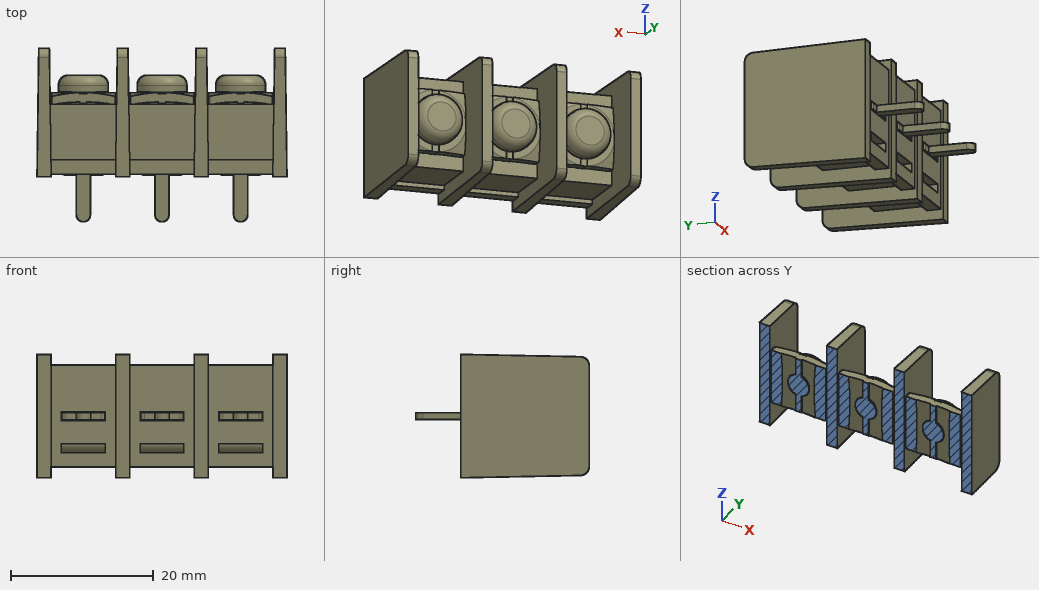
import cadquery as cq
import math

POLES = 3
PITCH = 11.0

BARRIER_FRONT_WIDTH = 2.0
BARRIER_REAR_WIDTH = 1.52
BARRIER_FRONT_HEIGHT = 17.3
BARRIER_REAR_HEIGHT = 16.6
BARRIER_DEPTH = 18.0
BARRIER_CORNER_RADIUS = 1.3

BODY_LENGTH = POLES * PITCH
BODY_FRONT = 0.35
BODY_REAR = 10.2
BODY_HEIGHT = 13.0
LIP_HEIGHT = 14.3
LIP_DEPTH = 2.05

SLOT_WIDTH = 6.15
SLOT_HEIGHT = 1.25
PIN_SLOT_DEPTH = 2.0
LOWER_SLOT_Z = -4.5
LOWER_SLOT_DEPTH = 2.0

PIN_WIDTH = 2.0
PIN_THICKNESS = 1.0
PIN_REACH = 6.3
SHOULDER_WIDTH = 6.0
SHOULDER_PROUD = 0.1
SHOULDER_RADIUS = 0.5

WASHER_WIDTH = 8.96
WASHER_THICKNESS = 1.6
WASHER_CORNER_RADIUS = 0.15
WASHER_CHAMFER_ANGLE = 16.0
HOLLOW_WIDTH = 7.4
HOLLOW_HEIGHT = 0.3
GROOVE_WIDTH = 1.0
GROOVE_DEPTH = 0.2
BEAD_HEIGHT = 0.2

HEAD_DIAMETER = 7.0
HEAD_HEIGHT = 2.4
HEAD_EDGE_RADIUS = 1.4
HEAD_CLEARANCE = 0.05
SHANK_DIAMETER = 3.5

WASHER_REAR = BODY_REAR + WASHER_THICKNESS


def box(width, height, y_start, y_end):
    """Block centred on X = Z = 0 that spans y_start to y_end."""
    return (
        cq.Workplane("XY")
        .box(width, y_end - y_start, height)
        .translate((0, (y_start + y_end) / 2, 0))
    )


def disc(diameter, y_start, y_end):
    """Cylinder along Y, centred on X = Z = 0."""
    return (
        cq.Workplane("XZ", origin=(0, y_start, 0))
        .circle(diameter / 2)
        .extrude(y_start - y_end)
    )


def make_barrier():
    plate = (
        cq.Workplane("XZ")
        .rect(BARRIER_FRONT_WIDTH, BARRIER_FRONT_HEIGHT)
        .workplane(offset=-BARRIER_DEPTH)
        .rect(BARRIER_REAR_WIDTH, BARRIER_REAR_HEIGHT)
        .loft(ruled=True)
    )
    return plate.faces(">Y").edges("|X").fillet(BARRIER_CORNER_RADIUS)


def make_body():
    block = box(BODY_LENGTH, BODY_HEIGHT, BODY_FRONT, BODY_REAR)
    lip = box(BODY_LENGTH, LIP_HEIGHT, BODY_FRONT, BODY_FRONT + LIP_DEPTH)
    return block.union(lip)


def make_pin_slot():
    return box(SLOT_WIDTH, SLOT_HEIGHT, BODY_FRONT, BODY_FRONT + PIN_SLOT_DEPTH)


def make_lower_slot():
    """Slot whose far wall is a rounded bend that turns inward toward -Z."""
    wall_y = BODY_FRONT + LOWER_SLOT_DEPTH
    z_low = LOWER_SLOT_Z - SLOT_HEIGHT / 2
    z_high = LOWER_SLOT_Z + SLOT_HEIGHT / 2
    diagonal = SLOT_HEIGHT * math.sqrt(0.5)
    bend_middle = (wall_y + SLOT_HEIGHT - diagonal, z_high - diagonal)
    return (
        cq.Workplane("YZ", origin=(-SLOT_WIDTH / 2, 0, 0))
        .moveTo(BODY_FRONT, z_low)
        .lineTo(BODY_FRONT, z_high)
        .lineTo(wall_y, z_high)
        .threePointArc(bend_middle, (wall_y + SLOT_HEIGHT, z_low))
        .close()
        .extrude(SLOT_WIDTH)
    )


def make_pin():
    """Round-ended blade on a wider shoulder plate that fills the pin slot."""
    root_y = BODY_FRONT + PIN_SLOT_DEPTH
    half_width = PIN_WIDTH / 2
    tip_start = half_width - PIN_REACH
    blade = (
        cq.Workplane("XY", origin=(0, 0, -PIN_THICKNESS / 2))
        .moveTo(-half_width, root_y)
        .lineTo(-half_width, tip_start)
        .threePointArc((0, -PIN_REACH), (half_width, tip_start))
        .lineTo(half_width, root_y)
        .close()
        .extrude(PIN_THICKNESS)
    )
    shoulder = box(SHOULDER_WIDTH, PIN_THICKNESS, BODY_FRONT - SHOULDER_PROUD, root_y)
    shoulder = shoulder.faces("<Y").edges("|Z").fillet(SHOULDER_RADIUS)
    return shoulder.union(blade)


def make_washer():
    """Square washer, cone-chamfered corners, hollow underside and a pressed bead."""
    plate = box(WASHER_WIDTH, WASHER_WIDTH, BODY_REAR, WASHER_REAR)
    plate = plate.edges("|Y").fillet(WASHER_CORNER_RADIUS)

    flat_radius = WASHER_WIDTH / 2
    cone_radius = WASHER_WIDTH
    drop = (cone_radius - flat_radius) * math.tan(math.radians(WASHER_CHAMFER_ANGLE))
    cone = (
        cq.Workplane("XY")
        .moveTo(0, BODY_REAR)
        .lineTo(cone_radius, BODY_REAR)
        .lineTo(cone_radius, WASHER_REAR - drop)
        .lineTo(flat_radius, WASHER_REAR)
        .lineTo(0, WASHER_REAR)
        .close()
        .revolve(360, (0, 0, 0), (0, 1, 0))
    )
    plate = plate.intersect(cone)

    hollow = (
        cq.Workplane("XY", origin=(0, 0, -WASHER_WIDTH / 2))
        .moveTo(-HOLLOW_WIDTH / 2, BODY_REAR)
        .threePointArc((0, BODY_REAR + HOLLOW_HEIGHT), (HOLLOW_WIDTH / 2, BODY_REAR))
        .close()
        .extrude(WASHER_WIDTH)
    )
    groove = box(GROOVE_WIDTH, WASHER_WIDTH, WASHER_REAR - GROOVE_DEPTH, WASHER_REAR)
    bead_top = BODY_REAR + HOLLOW_HEIGHT
    bead = box(GROOVE_WIDTH, WASHER_WIDTH, bead_top - BEAD_HEIGHT, bead_top)
    return plate.cut(hollow).cut(groove).union(bead)


def make_screw():
    head_base = WASHER_REAR + HEAD_CLEARANCE
    head = disc(HEAD_DIAMETER, head_base, head_base + HEAD_HEIGHT)
    head = head.faces(">Y").edges().fillet(HEAD_EDGE_RADIUS)
    shank = disc(SHANK_DIAMETER, BODY_REAR, head_base)
    return head.union(shank)


result = make_body()

barrier = make_barrier()
for index in range(POLES + 1):
    result = result.union(barrier.translate(((index - POLES / 2) * PITCH, 0, 0)))

slots = make_pin_slot().union(make_lower_slot())
hardware = make_pin().union(make_washer()).union(make_screw())
pole_xs = [(index - (POLES - 1) / 2) * PITCH for index in range(POLES)]
for pole_x in pole_xs:
    result = result.cut(slots.translate((pole_x, 0, 0)))
    result = result.union(hardware.translate((pole_x, 0, 0)))